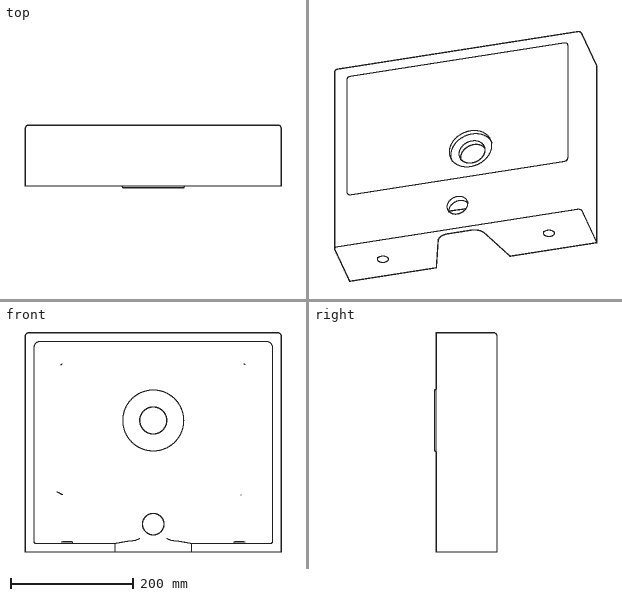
import cadquery as cq
import math


WIDTH = 420.0
HEIGHT = 360.0
DEPTH = 100.0
OUTER_RADIUS = 6.0

WALL = 14.5
DECK_THICKNESS = 12.0
POCKET_DEPTH = DEPTH - DECK_THICKNESS
POCKET_DRAFT = 3.0
POCKET_TOP_RADIUS = 10.0
POCKET_BOTTOM_RADIUS = 3.0
ROOT_FILLET = 4.4
ROOT_ZONE_Y = 75.0

BOWL_REF_Y = 20.0
BOWL_HALF_WIDTH = 158.5
BOWL_TOP_Z = 309.5
BOWL_BOTTOM_Z = 94.0
BOWL_TILT = 28.0
BOWL_BOTTOM_TILT = 4.2
BOWL_CORNER_RADIUS = 18.5
BOWL_FLOOR_FILLET = 17.5
BOWL_WALL = 12.0
INNER_CORNER_RADIUS = BOWL_CORNER_RADIUS - BOWL_WALL
INNER_FLOOR_FILLET = BOWL_FLOOR_FILLET - BOWL_WALL

DRAIN_Z = 216.0
DRAIN_HOLE_DIAMETER = 44.0
BOSS_RADIUS = 50.0
BOSS_PROJECTION = 3.0
BOSS_FLARE_RADIUS = 63.5
BOSS_FLARE_FILLET = 15.4
BOSS_THICKNESS = 11.0
SEAT_BACK_Y = BOSS_THICKNESS - BOSS_PROJECTION
SUMP_RADIUS = 36.0
FLOOR_Y = 7.0
FLOOR_SLOPE = 3.5
FLOOR_REACH = 260.0

TAP_HOLE_DIAMETER = 35.0
TAP_HOLE_Z = 46.0

NOTCH_FRONT_WIDTH = 125.0
NOTCH_DECK_WIDTH = 70.0
NOTCH_HEIGHT = 2 * WALL
NOTCH_CORNER_RADIUS = 20.0
FIXING_HOLE_DIAMETER = 18.0
FIXING_HOLE_X = 141.0
FIXING_HOLE_Y = 46.5


def plane_at(y):
    """Workplane with local x along +X, local y along +Z, facing -Y."""
    return cq.Workplane("XZ", origin=(0, y, 0))


def cylinder_along_y(diameter, z, y_start, y_end):
    return plane_at(y_end).center(0, z).circle(diameter / 2).extrude(y_end - y_start)


def outer_body():
    body = plane_at(DEPTH).center(0, HEIGHT / 2).rect(WIDTH, HEIGHT).extrude(DEPTH)
    body = body.edges("|Y and >Z").fillet(OUTER_RADIUS)
    back_edges = body.faces(">Y").edges("not <Z")
    return back_edges.fillet(OUTER_RADIUS)


def side_growth(y, tilt, inset):
    """How far a tilted bowl side, moved inwards by inset, lies outside its reference position."""
    angle = math.radians(tilt)
    return (y - BOWL_REF_Y) * math.tan(angle) - inset / math.cos(angle)


def bowl_section(y, inset):
    """Sharp-cornered rectangle of the bowl sides at the given depth."""
    growth = side_growth(y, BOWL_TILT, inset)
    half_width = BOWL_HALF_WIDTH + growth
    top = BOWL_TOP_Z + growth
    bottom = BOWL_BOTTOM_Z - side_growth(y, BOWL_BOTTOM_TILT, inset)
    corners = [
        cq.Vector(-half_width, y, bottom),
        cq.Vector(half_width, y, bottom),
        cq.Vector(half_width, y, top),
        cq.Vector(-half_width, y, top),
    ]
    return cq.Wire.makePolygon(corners, close=True)


def bowl_frustum(y_front, y_back, inset):
    """Four-sided block with the bowl's side tilts, its sides moved inwards by inset."""
    sections = [bowl_section(y_front, inset), bowl_section(y_back, inset)]
    return cq.Workplane(cq.Solid.makeLoft(sections, True))


def behind_floor_cone(offset):
    """Everything behind the conical floor, moved towards +Y by offset."""
    slope = math.tan(math.radians(FLOOR_SLOPE))
    apex_y = FLOOR_Y - BOSS_FLARE_RADIUS * slope + offset
    return (
        cq.Workplane("XY", origin=(0, 0, DRAIN_Z))
        .moveTo(0, apex_y)
        .lineTo(FLOOR_REACH, apex_y + FLOOR_REACH * slope)
        .lineTo(FLOOR_REACH, 2 * DEPTH)
        .lineTo(0, 2 * DEPTH)
        .close()
        .revolve(360, (0, 0, 0), (0, 1, 0))
    )


def rounded_bowl(y_back, inset, floor_offset, corner_radius, floor_fillet):
    """Tilted block with rounded corners and a conical floor, rounded where floor meets sides."""
    block = bowl_frustum(-BOSS_PROJECTION, y_back, inset)
    block = block.edges("not(#Y)").fillet(corner_radius)
    block = block.intersect(behind_floor_cone(floor_offset))
    return block.faces("<Y").edges().fillet(floor_fillet)


def pocket():
    """Drafted void between the outer walls, the deck and the bowl."""
    void = (
        cq.Workplane("XZ")
        .center(0, HEIGHT / 2)
        .rect(WIDTH - 2 * WALL, HEIGHT - 2 * WALL)
        .extrude(-POCKET_DEPTH, taper=POCKET_DRAFT)
    )
    void = void.edges("not(#Y)").edges(">Z").fillet(POCKET_TOP_RADIUS)
    void = void.edges("not(#Y)").edges("<Z").fillet(POCKET_BOTTOM_RADIUS)
    bowl = rounded_bowl(POCKET_DEPTH, 0, 0, BOWL_CORNER_RADIUS, BOWL_FLOOR_FILLET)
    void = void.cut(bowl)
    root_zone = cq.selectors.BoxSelector(
        (-WIDTH, ROOT_ZONE_Y, -HEIGHT), (WIDTH, DEPTH, 2 * HEIGHT), boundingbox=True
    )
    return void.edges(root_zone).fillet(ROOT_FILLET)


def basin_interior():
    """Bowl void offset inwards from the bowl's outer skin by the wall thickness."""
    return rounded_bowl(DEPTH, BOWL_WALL, BOWL_WALL, INNER_CORNER_RADIUS, INNER_FLOOR_FILLET)


def drain_boss():
    """Flat drain seat blended into the conical floor by a concave flare."""
    return (
        cq.Workplane("XY", origin=(0, 0, DRAIN_Z))
        .moveTo(0, SEAT_BACK_Y)
        .lineTo(BOSS_FLARE_RADIUS, SEAT_BACK_Y)
        .lineTo(BOSS_FLARE_RADIUS, FLOOR_Y)
        .radiusArc((BOSS_RADIUS, -BOSS_PROJECTION), -BOSS_FLARE_FILLET)
        .lineTo(0, -BOSS_PROJECTION)
        .close()
        .revolve(360, (0, 0, 0), (0, 1, 0))
    )


def drain_sump():
    """Round recess inside the basin, down to the back of the drain seat."""
    return cylinder_along_y(2 * SUMP_RADIUS, DRAIN_Z, SEAT_BACK_Y, FLOOR_Y + BOWL_WALL)


def bottom_notch():
    """Opening in the bottom wall, narrowing from the mounting side to the deck."""
    notch = (
        cq.Workplane("XY")
        .moveTo(-NOTCH_FRONT_WIDTH / 2, 0)
        .lineTo(NOTCH_FRONT_WIDTH / 2, 0)
        .lineTo(NOTCH_DECK_WIDTH / 2, POCKET_DEPTH)
        .lineTo(-NOTCH_DECK_WIDTH / 2, POCKET_DEPTH)
        .close()
        .extrude(NOTCH_HEIGHT)
    )
    return notch.edges("|Z and >Y").fillet(NOTCH_CORNER_RADIUS)


def fixing_holes():
    return (
        cq.Workplane("XY")
        .pushPoints([(-FIXING_HOLE_X, FIXING_HOLE_Y), (FIXING_HOLE_X, FIXING_HOLE_Y)])
        .circle(FIXING_HOLE_DIAMETER / 2)
        .extrude(NOTCH_HEIGHT)
    )


result = outer_body().cut(pocket()).cut(basin_interior())
result = result.union(drain_boss()).cut(drain_sump())
result = result.cut(cylinder_along_y(DRAIN_HOLE_DIAMETER, DRAIN_Z, -BOSS_PROJECTION, DEPTH))
result = result.cut(cylinder_along_y(TAP_HOLE_DIAMETER, TAP_HOLE_Z, 0, DEPTH))
result = result.cut(bottom_notch()).cut(fixing_holes())